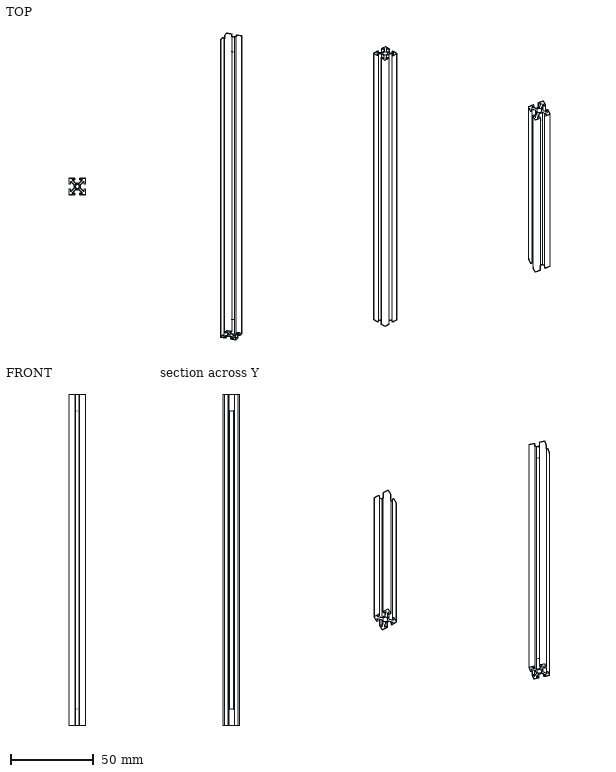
import cadquery as cq
import math

length = 200.0
width = 10.0
slot_opening = 3.0
lip_thickness = 1.0
edge_radius = 0.2
core_width = 4.2
arm_thickness = 1.5

bore_diameter = 2.5
widened_diameter = 3.0
widened_depth = 10.0

tolerance = 0.002

half_width = width / 2
half_length = length / 2
half_opening = slot_opening / 2
half_core = core_width / 2
lip_underside = half_width - lip_thickness
arm_shift = arm_thickness / math.sqrt(2)


def slot_cutter(angle):
    """T-slot open toward +Y, turned about Z by the given angle."""
    right_side = [
        (half_core - arm_shift, half_core),
        (lip_underside - arm_shift, lip_underside),
        (half_opening, lip_underside),
        (half_opening, half_width),
    ]
    left_side = [(-x, y) for x, y in reversed(right_side)]
    cutter = cq.Workplane("XY").polyline(right_side + left_side).close().extrude(half_length, both=True)
    return cutter.rotate((0, 0, 0), (0, 0, 1), angle)


rail = cq.Workplane("XY").box(width, width, length)
for angle in (0, 90, 180, 270):
    rail = rail.cut(slot_cutter(angle))


def is_exposed_edge(edge):
    """True for a lengthwise edge on a slot mouth or on an outer corner."""
    center = edge.Center()
    nearest = min(abs(center.x), abs(center.y))
    on_lip_tip = abs(nearest - half_opening) < tolerance
    on_outer_corner = abs(nearest - half_width) < tolerance
    return on_lip_tip or on_outer_corner


exposed_edges = [edge for edge in rail.edges("|Z").vals() if is_exposed_edge(edge)]
rail = rail.newObject(exposed_edges).fillet(edge_radius)

rail = rail.cut(cq.Workplane("XY").circle(bore_diameter / 2).extrude(half_length, both=True))
widened_end = (
    cq.Workplane("XY")
    .workplane(offset=half_length - widened_depth)
    .circle(widened_diameter / 2)
    .extrude(widened_depth)
)
result = rail.cut(widened_end).cut(widened_end.mirror("XY"))